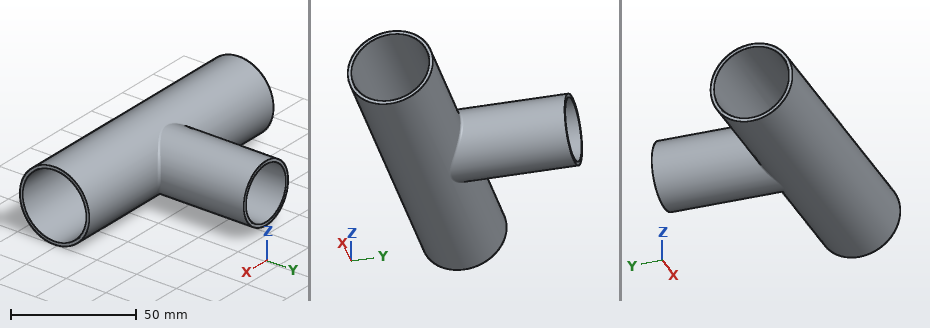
import cadquery as cq

WALL = 1.5
RUN_LENGTH = 120.0
RUN_OUTER_DIAMETER = 35.0
BRANCH_OUTER_DIAMETER = 29.0
BRANCH_REACH = 60.0
JUNCTION_FILLET = 1.0

RUN_BORE_DIAMETER = RUN_OUTER_DIAMETER - 2 * WALL
BRANCH_BORE_DIAMETER = BRANCH_OUTER_DIAMETER - 2 * WALL


def run_cylinder(diameter):
    """Cylinder along X, centred on the origin."""
    return cq.Workplane("YZ").circle(diameter / 2).extrude(RUN_LENGTH / 2, both=True)


def branch_cylinder(diameter):
    """Cylinder along +Y, from the run axis to the branch end."""
    return cq.Workplane("XZ").circle(diameter / 2).extrude(-BRANCH_REACH)


def outer_body():
    """Both solid pipes joined, with the outer seam between them rounded."""
    body = run_cylinder(RUN_OUTER_DIAMETER).union(branch_cylinder(BRANCH_OUTER_DIAMETER))
    return body.edges("not(%LINE or %CIRCLE)").fillet(JUNCTION_FILLET)


def bores():
    """Run bore and branch bore, meeting inside the run."""
    return run_cylinder(RUN_BORE_DIAMETER).union(branch_cylinder(BRANCH_BORE_DIAMETER))


result = outer_body().cut(bores())